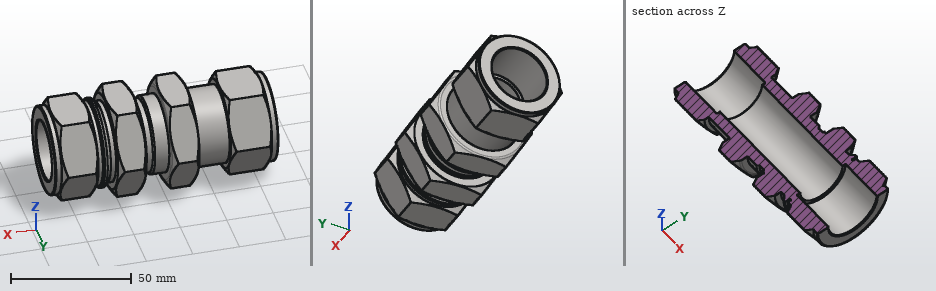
import cadquery as cq
import math

length = 96.1
hex_chamfer_angle = 30.0
end_nut_flats = 37.8
bulkhead_flats = 41.3

rim_length = 2.8
rim_diameter = 37.8
rim_chamfer = 0.4
left_nut_end = 20.6
right_nut_start = 77.4
right_nut_end = length - rim_length

bulkhead_start = 34.3
bulkhead_end = 46.5
lock_nut_start = 57.3
lock_nut_end = 69.6
bulkhead_face_diameter = 40.4
bulkhead_face_rounding = 1.9
lock_nut_face_diameter = 40.8

body_diameter = 33.4
body_end = 52.6
relief_start = 53.4
relief_end = 56.1
relief_diameter = 31.4
thread_diameter = 33.0
thread_end = 75.3
washer_hub_diameter = 34.5
washer_cone_start = 71.8
washer_cone_end = 73.6
washer_end = 74.8
washer_diameter = 38.0
collar_diameter = 36.5
collar_chamfer = 0.3

bore_diameter = 22.3
socket_diameter = 25.6
socket_depth = 21.15
socket_chamfer = 0.4


def cylinder(start, end, diameter):
    return cq.Workplane("YZ", origin=(start, 0, 0)).circle(diameter / 2).extrude(end - start)


def revolve_profile(points):
    """Revolve an (x, radius) outline about the X axis."""
    return cq.Workplane("XY").polyline(points).close().revolve(360, (0, 0, 0), (1, 0, 0))


def hexagon(start, end, flats, face_diameter, face_rounding=0):
    """Hexagon with corners on +Y and -Y, trimmed by a cone at each end, optionally blended."""
    corner_diameter = flats / math.cos(math.radians(30))
    prism = cq.Workplane("YZ", origin=(start, 0, 0)).polygon(6, corner_diameter).extrude(end - start)
    face_radius = face_diameter / 2
    clear_radius = corner_diameter / 2 + 1
    cone_length = (clear_radius - face_radius) * math.tan(math.radians(hex_chamfer_angle))
    envelope = revolve_profile([
        (start, 0),
        (start, face_radius),
        (start + cone_length, clear_radius),
        (end - cone_length, clear_radius),
        (end, face_radius),
        (end, 0),
    ])
    if face_rounding > 0:
        envelope = envelope.faces("<X or >X").edges().fillet(face_rounding)
    return prism.intersect(envelope)


def stepped_body():
    body = cylinder(rim_length, body_end, body_diameter)
    relief_shoulder = revolve_profile([
        (body_end, 0),
        (body_end, body_diameter / 2),
        (relief_start, relief_diameter / 2),
        (relief_start, 0),
    ])
    relief = cylinder(relief_start, relief_end, relief_diameter)
    thread = cylinder(relief_end, thread_end, thread_diameter)
    return body.union(relief_shoulder).union(relief).union(thread)


def washer():
    hub_radius = washer_hub_diameter / 2
    outer_radius = washer_diameter / 2
    return revolve_profile([
        (lock_nut_end, 0),
        (lock_nut_end, hub_radius),
        (washer_cone_start, hub_radius),
        (washer_cone_end, outer_radius),
        (washer_end, outer_radius),
        (washer_end, 0),
    ])


def end_nuts():
    left_rim = cylinder(0, rim_length, rim_diameter).faces("<X").chamfer(rim_chamfer)
    left_hex = hexagon(rim_length, left_nut_end, end_nut_flats, rim_diameter)
    collar = cylinder(thread_end, right_nut_start, collar_diameter).faces("<X").chamfer(collar_chamfer)
    right_hex = hexagon(right_nut_start, right_nut_end, end_nut_flats, collar_diameter)
    right_rim = cylinder(right_nut_end, length, rim_diameter).faces(">X").chamfer(rim_chamfer)
    return left_rim.union(left_hex).union(collar).union(right_hex).union(right_rim)


def stepped_bore():
    socket_radius = socket_diameter / 2
    bore_radius = bore_diameter / 2
    mouth_radius = socket_radius + socket_chamfer
    return revolve_profile([
        (0, 0),
        (0, mouth_radius),
        (socket_chamfer, socket_radius),
        (socket_depth, socket_radius),
        (socket_depth, bore_radius),
        (length - socket_depth, bore_radius),
        (length - socket_depth, socket_radius),
        (length - socket_chamfer, socket_radius),
        (length, mouth_radius),
        (length, 0),
    ])


def bulkhead_hexagon():
    return hexagon(
        bulkhead_start,
        bulkhead_end,
        bulkhead_flats,
        bulkhead_face_diameter,
        bulkhead_face_rounding,
    )


result = (
    stepped_body()
    .union(washer())
    .union(end_nuts())
    .union(bulkhead_hexagon())
    .union(hexagon(lock_nut_start, lock_nut_end, bulkhead_flats, lock_nut_face_diameter))
    .cut(stepped_bore())
)